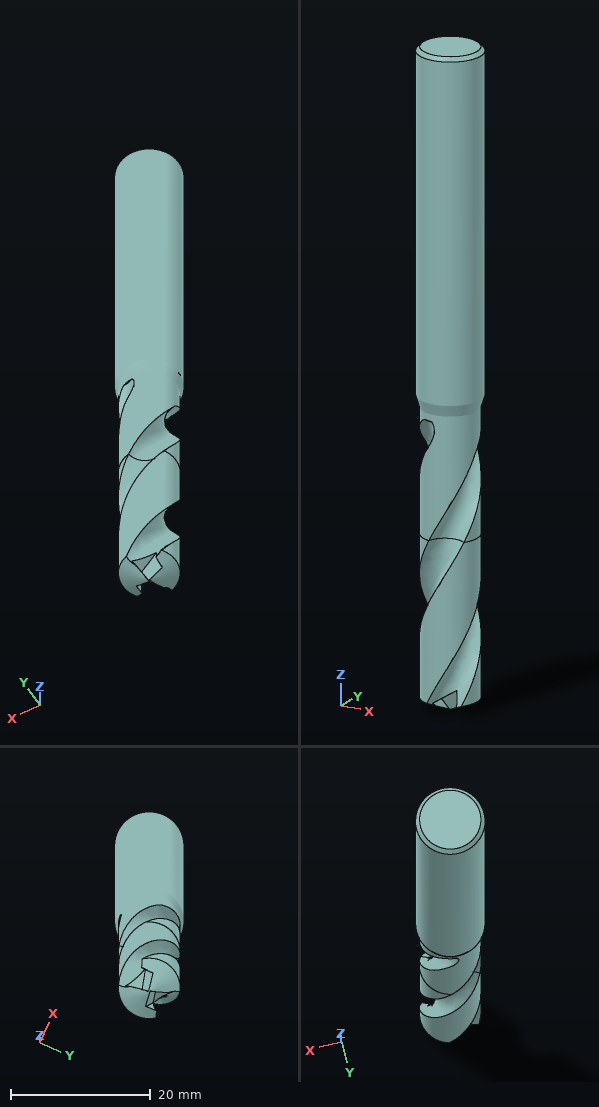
import cadquery as cq
import math

total_length = 101.0
shank_radius = 5.0
cutting_radius = 4.4
top_chamfer = 0.6
split_height = 26.9
neck_bottom = 46.2
neck_top = 48.0
point_height = 1.9

flute_count = 2
helix_angle = 30.0
flute_core_radius = 2.2
flute_half_angle = 35.0
flute_start_azimuth = 93.0
flute_helix_top = 40.0
exit_height = 5.0
exit_tangent_slope = 1.0

gash_web = 0.1
gash_reach = 1.4
gash_peak_x = 2.0
gash_peak_z = 3.7
gash_heel_x = -1.0
gash_heel_z = 1.7
gash_lip_x = 2.4

helix_slope = math.tan(math.radians(helix_angle))
flute_pitch = 2 * math.pi * cutting_radius / helix_slope
twist_to_top = 360 * flute_helix_top / flute_pitch

edge_x = cutting_radius * math.cos(math.radians(flute_half_angle))
edge_y = cutting_radius * math.sin(math.radians(flute_half_angle))
flute_depth_at_edge = edge_x - flute_core_radius
flute_radius = (edge_y**2 + flute_depth_at_edge**2) / (2 * flute_depth_at_edge)
flute_offset = flute_core_radius + flute_radius


def make_blank():
    """Revolved drill outline with a conical point, a tapered neck and a chamfered shank."""
    return (
        cq.Workplane("XZ")
        .lineTo(cutting_radius, point_height)
        .lineTo(cutting_radius, neck_bottom)
        .lineTo(shank_radius, neck_top)
        .lineTo(shank_radius, total_length - top_chamfer)
        .lineTo(shank_radius - top_chamfer, total_length)
        .lineTo(0, total_length)
        .close()
        .revolve(360, (0, 0, 0), (0, 1, 0))
    )


def helical_flute(azimuth):
    """Twisted groove from the point up to the start of the run-out."""
    return (
        cq.Workplane("XY")
        .moveTo(flute_offset, 0)
        .circle(flute_radius)
        .twistExtrude(flute_helix_top, twist_to_top)
        .rotate((0, 0, 0), (0, 0, 1), azimuth)
    )


def flute_exit(azimuth):
    """Straight run-out that leaves the helix along its tangent."""
    path_start = (flute_offset, 0, flute_helix_top)
    path_end = (flute_offset, exit_height * exit_tangent_slope, flute_helix_top + exit_height)
    path = cq.Workplane(cq.Edge.makeLine(cq.Vector(*path_start), cq.Vector(*path_end)))
    return (
        cq.Workplane("XY", origin=path_start)
        .circle(flute_radius)
        .sweep(path)
        .rotate((0, 0, 0), (0, 0, 1), azimuth + twist_to_top)
    )


def cut_flutes(blank):
    """Cut evenly spaced flutes and their run-outs."""
    for index in range(flute_count):
        azimuth = flute_start_azimuth + index * 360 / flute_count
        blank = blank.cut(helical_flute(azimuth)).cut(flute_exit(azimuth))
    return blank


def cut_gashes(drill):
    """Cut a flat below each flute, rising outward from just beside the drill axis."""
    flat = (
        cq.Workplane("YZ", origin=(-cutting_radius, 0, 0))
        .moveTo(-gash_web, 0)
        .lineTo(-gash_web - gash_reach, gash_peak_z)
        .lineTo(-cutting_radius, gash_peak_z)
        .lineTo(-cutting_radius, 0)
        .close()
        .extrude(2 * cutting_radius)
    )
    outline = (
        cq.Workplane("XZ")
        .lineTo(gash_heel_x, gash_heel_z)
        .lineTo(gash_peak_x, gash_peak_z)
        .lineTo(gash_lip_x, point_height)
        .lineTo(gash_lip_x, 0)
        .close()
        .extrude(cutting_radius)
    )
    gash = flat.intersect(outline)
    for index in range(flute_count):
        drill = drill.cut(gash.rotate((0, 0, 0), (0, 0, 1), index * 360 / flute_count))
    return drill


def slice_between(drill, bottom, top):
    """Part of the drill between two heights."""
    width = 2 * shank_radius
    slab = cq.Workplane("XY", origin=(0, 0, bottom)).rect(width, width).extrude(top - bottom)
    return drill.intersect(slab)


drill = cut_gashes(cut_flutes(make_blank()))
cutting_head = slice_between(drill, 0, split_height)
shank = slice_between(drill, split_height, total_length)

result = cq.Compound.makeCompound([cutting_head.val(), shank.val()])